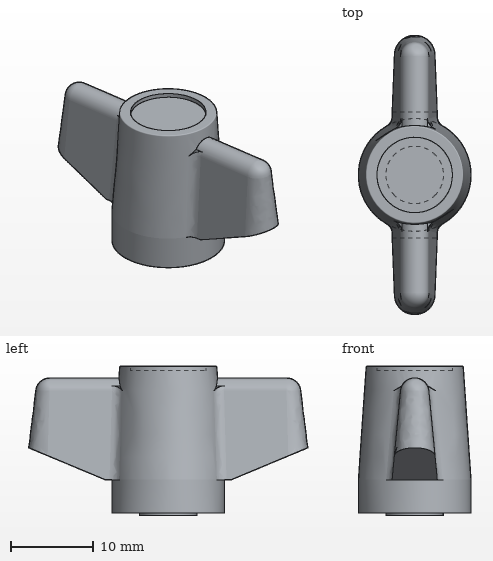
import cadquery as cq
import math

body_radius = 6.87
body_top_radius = 5.9
body_height = 18.2
foot_diameter = 7.0
foot_height = 0.3
collar_top = 4.35
rim_rounding = 0.15
recess_diameter = 9.18
recess_depth = 0.5

span = 34
wing_top = 16.75
crest_radius = 1.75
wing_root_half_width = 2.75
crest_end_y = 14.4
root_fillet = 1.35
root_fillet_half_width = 2.55
underside_start_y = 7.65
underside_end_z = 8.25

crest_axis_z = wing_top - crest_radius
draft_angle = math.atan((wing_root_half_width - crest_radius) / (crest_axis_z - collar_top))
shoulder_z = crest_axis_z + crest_radius * math.sin(draft_angle)
shoulder_half_width = crest_radius * math.cos(draft_angle)

tip_fraction = (underside_end_z - collar_top) / (shoulder_z - collar_top)
shoulder_tip_y = crest_end_y + shoulder_half_width
root_tip_y = (span / 2 - tip_fraction * shoulder_tip_y) / (1 - tip_fraction)
root_end_y = root_tip_y - wing_root_half_width


def disc(radius, bottom, top):
    return cq.Workplane("XY").workplane(offset=bottom).circle(radius).extrude(top - bottom)


def make_cone():
    height = body_height - collar_top
    cone = cq.Solid.makeCone(body_radius, body_top_radius, height, cq.Vector(0, 0, collar_top))
    return cq.Workplane(obj=cone)


def make_bar():
    """Both wings, without their rounded ends, as one drafted bar through the axis."""
    bar = (
        cq.Workplane("XZ")
        .moveTo(-wing_root_half_width, collar_top)
        .lineTo(-shoulder_half_width, shoulder_z)
        .threePointArc((0, wing_top), (shoulder_half_width, shoulder_z))
        .lineTo(wing_root_half_width, collar_top)
        .close()
        .extrude(root_end_y, both=True)
    )
    side_shape = (
        cq.Workplane("YZ")
        .polyline([
            (-root_end_y, collar_top),
            (root_end_y, collar_top),
            (crest_end_y, shoulder_z),
            (crest_end_y, body_height),
            (-crest_end_y, body_height),
            (-crest_end_y, shoulder_z),
        ])
        .close()
        .extrude(body_radius, both=True)
    )
    return bar.intersect(side_shape)


def half_disc_outline(end_y, radius, z):
    outline = (
        cq.Workplane("XY", origin=(0, 0, z))
        .moveTo(-radius, end_y)
        .threePointArc((0, end_y + radius), (radius, end_y))
        .close()
    )
    return outline.val()


def make_tip():
    """Round, leaning end of the +Y wing with a quarter-ball dome on top."""
    root_outline = half_disc_outline(root_end_y, wing_root_half_width, collar_top)
    shoulder_outline = half_disc_outline(crest_end_y, shoulder_half_width, shoulder_z)
    post = cq.Solid.makeLoft([root_outline, shoulder_outline], True)

    arc_angle = math.pi / 4
    arc_middle = (
        crest_radius * math.cos(arc_angle),
        crest_axis_z + crest_radius * math.sin(arc_angle),
    )
    dome = (
        cq.Workplane("XZ", origin=(0, crest_end_y, 0))
        .moveTo(0, shoulder_z)
        .lineTo(shoulder_half_width, shoulder_z)
        .threePointArc(arc_middle, (0, wing_top))
        .close()
        .revolve(180, (0, 0, 0), (0, 1, 0))
    )
    return cq.Workplane(obj=post).union(dome)


def make_underside_cut():
    """Material below the sloping underside of the +Y wing."""
    slope = (underside_end_z - collar_top) / (span / 2 - underside_start_y)
    end_y = span
    end_z = collar_top + slope * (end_y - underside_start_y)
    return (
        cq.Workplane("YZ")
        .polyline([(underside_start_y, collar_top), (end_y, end_z), (end_y, 0), (underside_start_y, 0)])
        .close()
        .extrude(body_radius, both=True)
    )


def blend_roots(knob):
    """Round the seams where the wings meet the cone."""
    flat_limit = 0.05
    seams = []
    for edge in knob.faces("%CONE").edges().vals():
        box = edge.BoundingBox()
        is_seam = abs(edge.Center().y) > body_top_radius / 2 and box.zlen > flat_limit
        if is_seam:
            seams.append(edge)
    return knob.newObject(seams).fillet(root_fillet)


def make_blend_roof():
    """Space that holds the root blends: wide beside the wings, closing to a ridge at the crest."""
    return (
        cq.Workplane("XZ")
        .moveTo(-body_radius, collar_top)
        .lineTo(-body_radius, shoulder_z)
        .lineTo(-root_fillet_half_width, shoulder_z)
        .lineTo(0, wing_top)
        .lineTo(root_fillet_half_width, shoulder_z)
        .lineTo(body_radius, shoulder_z)
        .lineTo(body_radius, collar_top)
        .close()
        .extrude(span, both=True)
    )


cone = make_cone()
bar = make_bar()
blended = blend_roots(cone.union(bar)).intersect(make_blend_roof())
result = cone.union(bar).union(blended)

tip = make_tip()
result = result.union(tip).union(tip.mirror("XZ"))

underside_cut = make_underside_cut()
result = result.cut(underside_cut).cut(underside_cut.mirror("XZ"))

result = result.faces(">Z").edges().fillet(rim_rounding)
result = result.cut(disc(recess_diameter / 2, body_height - recess_depth, body_height))

result = result.union(disc(body_radius, foot_height, collar_top))
result = result.union(disc(foot_diameter / 2, 0, foot_height))